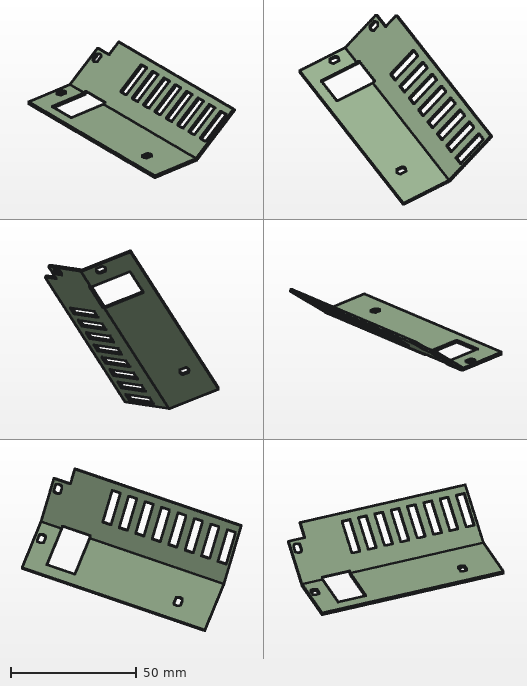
import cadquery as cq
import math

length = 78.1
thickness = 1.0
base_depth = 21.55
flange_length = 25.1
flange_angle = 38.3

notch_width = 7.0
notch_start = 18.6

vent_count = 8
vent_pitch = 7.0
vent_width = 3.5
vent_length = 13.75
vent_left = 24.0
vent_start = 8.0

window_left = 8.8
window_front = 4.7
window_width = 11.95
window_flange_reach = 1.0

hole_diameter = 3.9
hole_width = 2.8
left_hole_x = 2.8
left_hole_y = 14.7
right_hole_x = 63.7
right_hole_y = 8.05
flange_hole_slope = 15.0

heel_depth = base_depth + thickness * math.sin(math.radians(flange_angle))

cut_height = 7.8

flange_plane = cq.Plane(origin=(0, base_depth, thickness), xDir=(1, 0, 0), normal=(0, 0, 1))
flange_plane = flange_plane.rotated((flange_angle, 0, 0))
base_plane = cq.Plane.XY()


def rectangle_block(plane, left, start, width, depth):
    """Cutter through the sheet, rectangular in the given plane."""
    sketch = cq.Workplane(plane).center(left + width / 2, start + depth / 2)
    return sketch.rect(width, depth).extrude(cut_height, both=True)


def flattened_hole(plane, x, y):
    """Cutter with straight sides and arc ends."""
    half_width = hole_width / 2
    radius = hole_diameter / 2
    half_side = math.sqrt(radius**2 - half_width**2)
    return (
        cq.Workplane(plane)
        .center(x, y)
        .moveTo(-half_width, -half_side)
        .threePointArc((0, -radius), (half_width, -half_side))
        .lineTo(half_width, half_side)
        .threePointArc((0, radius), (-half_width, half_side))
        .close()
        .extrude(cut_height, both=True)
    )


def bent_sheet():
    heel_height = thickness * (1 - math.cos(math.radians(flange_angle)))
    base = (
        cq.Workplane("YZ")
        .polyline([(0, 0), (heel_depth, 0), (heel_depth, heel_height), (base_depth, thickness), (0, thickness)])
        .close()
        .extrude(length)
    )
    flange = (
        cq.Workplane(flange_plane)
        .center(length / 2, flange_length / 2)
        .rect(length, flange_length)
        .extrude(-thickness)
    )
    return base.union(flange)


result = bent_sheet()

notch_depth = flange_length - notch_start
result = result.cut(rectangle_block(flange_plane, 0, notch_start, notch_width, notch_depth))

for index in range(vent_count):
    left = vent_left + index * vent_pitch
    result = result.cut(rectangle_block(flange_plane, left, vent_start, vent_width, vent_length))

window_depth = heel_depth - window_front
result = result.cut(rectangle_block(base_plane, window_left, window_front, window_width, window_depth))
result = result.cut(rectangle_block(flange_plane, window_left, 0, window_width, window_flange_reach))

result = result.cut(flattened_hole(base_plane, left_hole_x, left_hole_y))
result = result.cut(flattened_hole(base_plane, right_hole_x, right_hole_y))
result = result.cut(flattened_hole(flange_plane, left_hole_x, flange_hole_slope))